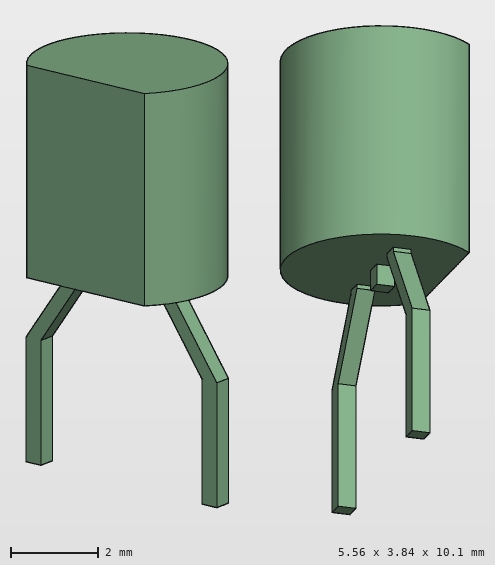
import cadquery as cq
import math

total_height = 10.06
leg_span = 5.56
leg_width = 0.43

body_height = 5.1
body_radius = 2.3
flat_distance = 1.54
body_bottom = total_height - body_height

foot_center = (leg_span - leg_width) / 2
neck_center = 1.26
foot_height = 3.0
neck_length = 0.1
neck_bottom = body_bottom - neck_length

stub_center = -0.11
stub_length = 0.49


def make_body():
    half_flat = math.sqrt(body_radius**2 - flat_distance**2)
    return (
        cq.Workplane("XY", origin=(0, 0, body_bottom))
        .moveTo(-half_flat, -flat_distance)
        .threePointArc((0, body_radius), (half_flat, -flat_distance))
        .close()
        .extrude(body_height)
    )


def make_outer_leg(side):
    half = leg_width / 2
    centers = [
        (foot_center, 0),
        (foot_center, foot_height),
        (neck_center, neck_bottom),
        (neck_center, body_bottom),
    ]
    outer_edge = [(side * (x + half), z) for x, z in centers]
    inner_edge = [(side * (x - half), z) for x, z in reversed(centers)]
    return (
        cq.Workplane("XZ")
        .polyline(outer_edge + inner_edge)
        .close()
        .extrude(half, both=True)
    )


def make_middle_leg():
    return (
        cq.Workplane("XY", origin=(stub_center, 0, body_bottom))
        .rect(leg_width, leg_width)
        .extrude(-stub_length)
    )


result = make_body().union(make_middle_leg())
for side in (-1, 1):
    result = result.union(make_outer_leg(side))